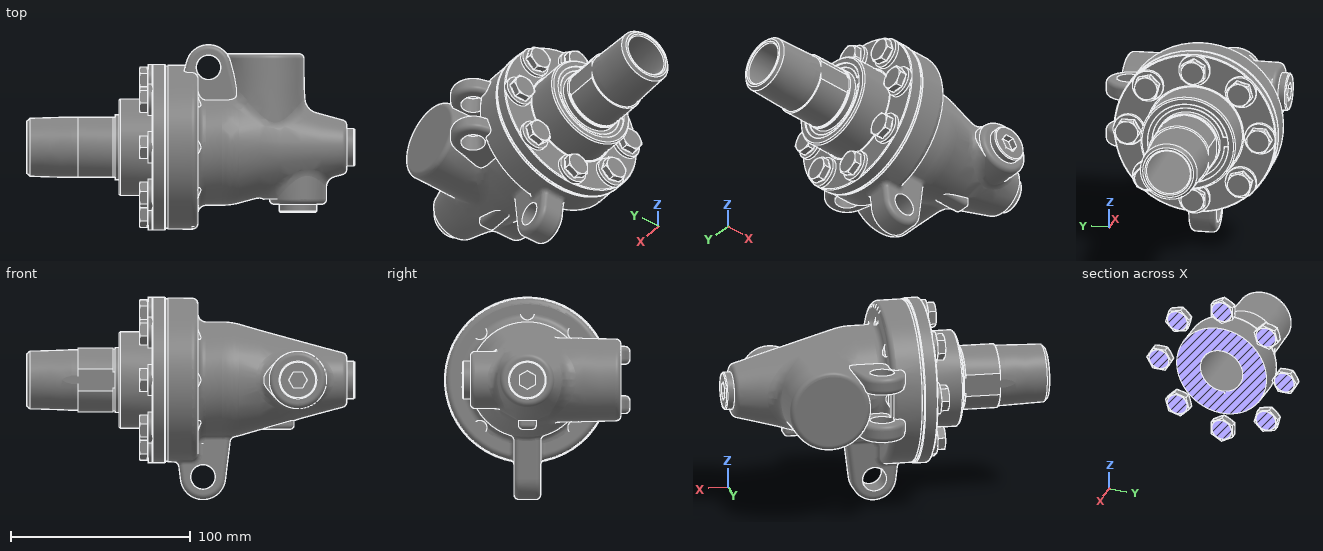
import cadquery as cq
import math


TOTAL_LENGTH = 182.77
SELECTION_MARGIN = 1.5

BORE_RADIUS = 12.5
BORE_DEPTH = 120.0
BORE_CHAMFER = 0.7
SHAFT_END_RADIUS = 29 / 2
SHAFT_CHAMFER_LENGTH = 1.8
THREAD_RADIUS = 16.95
THREAD_TAPER = 1 / 32
THREAD_END_X = 25.0
SHAFT_STEP_X = 28.5
SHAFT_RADIUS = 35.8 / 2
SHAFT_END_X = 48.2
SHAFT_COLLAR_X = 49.2
SHAFT_NECK_RADIUS = 17.4
SHAFT_COLLAR_RADIUS = 36.35 / 2
FLAT_OFFSET = 16.8

COVER_HUB_X = 51.3
COVER_HUB_RADIUS = 54 / 2
COVER_HUB_CHAMFER = 0.9
COVER_X = 69.8
COVER_END_X = 77.4
COVER_RADIUS = 46.2
COVER_CHAMFER = 0.5
HUB_GROOVE_RADIUS = 55.5 / 2
HUB_GROOVE_DEPTH = 0.5
SEAT_RADIUS = 46.1 / 2
SEAT_DEPTH = 1.5
RETAINING_RING_DEPTH = 0.7
RETAINING_RING_INNER_RADIUS = 20.6
RETAINING_RING_GAP_Z = -0.6
RETAINING_RING_GAP_END_Z = 4.9

PLUG_RADIUS = 10.5
PLUG_CHAMFER = 0.6
PLUG_HEIGHT = 4.4
PLUG_HEX_FLATS = 9.0
PLUG_HEX_DEPTH = 4.0

FLANGE_X = 78.7
FLANGE_END_X = 95.5
FLANGE_RADIUS = 45.7
FLANGE_ROUND = 3.5
JOINT_RADIUS = 45.3
BARREL_X = 99.9
BARREL_END_X = 109.0
BARREL_RADIUS = 32.4
CONE_HALF_ANGLE = 15.4
SHOULDER_LENGTH = 9.3
CONE_END_X = TOTAL_LENGTH - PLUG_HEIGHT
NOSE_ROUND = 3.2

SCREW_COUNT = 8
SCREW_CIRCLE_RADIUS = 37.45
SCREW_HEAD_X = 62.8
SCREW_HEAD_END_X = 67.2
SCREW_HEAD_FLATS = 12.7
SCREW_HEAD_CHAMFER_ANGLE = 20.0
SCREW_RADIUS = 7.94 / 2
WASHER_X = 67.7
WASHER_RADIUS = 17.48 / 2
SCREW_FACE_RADIUS = 6.0

BOSS_X = 151.1
BOSS_RADIUS = 16.0
BOSS_FACE_Y = 31.8
BOSS_ROUND = 2.85
BOSS_BLEND = 5.8
BOSS_STOCK = 10.0
BOSS_TRIM_MARGIN = 3.0

OUTLET_X = 131.7
OUTLET_RADIUS = 22.8
OUTLET_FACE_Y = 52.2
OUTLET_ROUND = 3.0
OUTLET_DRAFT = 1.2
OUTLET_BLEND = 8.5

PAD_X = 115.0
PAD_END_X = 149.0
PAD_WIDTH = 10.0
PAD_FACE_Z = 27.5
PAD_ROUND = 2.4

LUG_RADIUS = 12.7
LUG_HOLE_RADIUS = 13.5 / 2
LUG_ROUND = 2.95
BOTTOM_LUG_X = 98.2
BOTTOM_LUG_REACH = 54.0
BOTTOM_LUG_WIDTH = 15.0
BOTTOM_LUG_TAPER = 7.0
BOTTOM_LUG_ROOT = 27.0
BOTTOM_LUG_BLEND = 2.8
BOTTOM_LUG_ANGLE = 270.0
SIDE_LUG_X = 101.3
SIDE_LUG_REACH = 44.5
SIDE_LUG_WIDTH = 10.1
SIDE_LUG_TAPER = 15.0
SIDE_LUG_ROOT = 15.0
SIDE_LUG_OFFSET = 13.75


def x_plane(x, y=0, z=0):
    """Work plane facing +X with local axes along Y and Z."""
    return cq.Workplane("YZ", origin=(x, y, z))


def y_cylinder(x, radius, y_start, y_end, taper=0):
    """Cylinder parallel to Y on the z = 0 plane, from y_start towards y_end."""
    facing = 1 if y_end > y_start else -1
    plane = cq.Plane(origin=(x, y_start, 0), xDir=(1, 0, 0), normal=(0, facing, 0))
    return cq.Workplane(plane).circle(radius).extrude(abs(y_end - y_start), taper=taper)


def revolve_about_x(outline):
    return outline.close().revolve(360, (0, 0, 0), (1, 0, 0))


def make_body_core():
    """Flange, barrel and cone, with the arcs that join them."""
    angle = math.radians(CONE_HALF_ANGLE)
    shoulder_radius = SHOULDER_LENGTH / math.sin(angle)
    shoulder_mid = (
        BARREL_END_X + shoulder_radius * math.sin(angle / 2),
        BARREL_RADIUS - shoulder_radius * (1 - math.cos(angle / 2)),
    )
    cone_x = BARREL_END_X + SHOULDER_LENGTH
    cone_radius = BARREL_RADIUS - shoulder_radius * (1 - math.cos(angle))
    nose_radius = cone_radius - (CONE_END_X - cone_x) * math.tan(angle)
    root_fillet = BARREL_X - FLANGE_END_X
    diagonal = 1 - math.sqrt(0.5)
    outline = (
        cq.Workplane("XY")
        .moveTo(FLANGE_X, 0)
        .lineTo(FLANGE_X, FLANGE_RADIUS)
        .lineTo(FLANGE_END_X - FLANGE_ROUND, FLANGE_RADIUS)
        .threePointArc(
            (FLANGE_END_X - FLANGE_ROUND * diagonal, FLANGE_RADIUS - FLANGE_ROUND * diagonal),
            (FLANGE_END_X, FLANGE_RADIUS - FLANGE_ROUND),
        )
        .lineTo(FLANGE_END_X, BARREL_RADIUS + root_fillet)
        .threePointArc(
            (FLANGE_END_X + root_fillet * diagonal, BARREL_RADIUS + root_fillet * diagonal),
            (BARREL_X, BARREL_RADIUS),
        )
        .lineTo(BARREL_END_X, BARREL_RADIUS)
        .threePointArc(shoulder_mid, (cone_x, cone_radius))
        .lineTo(CONE_END_X, nose_radius)
        .lineTo(CONE_END_X, 0)
    )
    return revolve_about_x(outline).faces(">X").edges().fillet(NOSE_ROUND)


def blend_seam(body, x, radius, y_end, blend):
    """Fillet the seam where a round boss parallel to Y, reaching to y_end, meets the body."""
    reach = radius + SELECTION_MARGIN
    near_y = math.copysign(SELECTION_MARGIN, y_end)
    far_y = y_end - near_y
    seam = cq.selectors.BoxSelector(
        (x - reach, min(near_y, far_y), -reach),
        (x + reach, max(near_y, far_y), reach),
    )
    return body.edges(seam).edges("not %CIRCLE").edges("not %LINE").fillet(blend)


def add_outlet(body):
    outlet = y_cylinder(OUTLET_X, OUTLET_RADIUS, OUTLET_FACE_Y, 0, -OUTLET_DRAFT)
    outlet = outlet.faces(">Y").edges().fillet(OUTLET_ROUND)
    body = body.union(outlet)
    return blend_seam(body, OUTLET_X, OUTLET_RADIUS, OUTLET_FACE_Y, OUTLET_BLEND)


def add_side_boss(body):
    """Blend an over-long boss into the cone, then trim its face and round its rim."""
    stock_length = BOSS_FACE_Y + BOSS_STOCK
    body = body.union(y_cylinder(BOSS_X, BOSS_RADIUS, 0, -stock_length))
    body = blend_seam(body, BOSS_X, BOSS_RADIUS, -BOSS_FACE_Y, BOSS_BLEND)
    rim_radius = BOSS_RADIUS - BOSS_ROUND
    rim_y = BOSS_ROUND - BOSS_FACE_Y
    trim_radius = BOSS_RADIUS + BOSS_TRIM_MARGIN
    diagonal = BOSS_ROUND * math.sqrt(0.5)
    trimmer = (
        cq.Workplane("XY", origin=(BOSS_X, 0, 0))
        .moveTo(0, -BOSS_FACE_Y)
        .lineTo(rim_radius, -BOSS_FACE_Y)
        .threePointArc((rim_radius + diagonal, rim_y - diagonal), (BOSS_RADIUS, rim_y))
        .lineTo(trim_radius, rim_y)
        .lineTo(trim_radius, -stock_length)
        .lineTo(0, -stock_length)
        .close()
        .revolve(360, (0, 0, 0), (0, 1, 0))
    )
    return body.cut(trimmer)


def make_pad():
    length = PAD_END_X - PAD_X
    pad = cq.Workplane("XY", origin=(PAD_X + length / 2, 0, -PAD_FACE_Z))
    pad = pad.rect(length, PAD_WIDTH).extrude(PAD_FACE_Z)
    return pad.edges("|Z").fillet(PAD_ROUND).faces("<Z").edges().fillet(PAD_ROUND)


def make_lug(reach, width, taper, root):
    """Lug lying in XY: round tip centred at y = reach, widening down to y = root."""
    angle = math.radians(taper)
    tangent_x = LUG_RADIUS * math.cos(angle)
    tangent_y = reach + LUG_RADIUS * math.sin(angle)
    root_x = tangent_x + (tangent_y - root) * math.tan(angle)
    lug = (
        cq.Workplane("XY")
        .moveTo(-root_x, root)
        .lineTo(-tangent_x, tangent_y)
        .threePointArc((0, reach + LUG_RADIUS), (tangent_x, tangent_y))
        .lineTo(root_x, root)
        .close()
        .extrude(width / 2, both=True)
    )
    return lug.faces("<Z or >Z").edges().fillet(LUG_ROUND)


def make_lug_hole(reach, width):
    return cq.Workplane("XY").center(0, reach).circle(LUG_HOLE_RADIUS).extrude(width / 2, both=True)


def add_bottom_lug(body):
    def place(shape):
        return shape.rotate((0, 0, 0), (1, 0, 0), BOTTOM_LUG_ANGLE).translate((BOTTOM_LUG_X, 0, 0))

    lug = make_lug(BOTTOM_LUG_REACH, BOTTOM_LUG_WIDTH, BOTTOM_LUG_TAPER, BOTTOM_LUG_ROOT)
    body = body.union(place(lug))
    half_width = BOTTOM_LUG_WIDTH / 2 + SELECTION_MARGIN
    root_box = cq.selectors.BoxSelector(
        (BOTTOM_LUG_X - 2 * LUG_RADIUS, -half_width, -BOTTOM_LUG_REACH),
        (BOTTOM_LUG_X + 2 * LUG_RADIUS, half_width, -BOTTOM_LUG_ROOT),
    )
    seam = body.edges(root_box).filter(lambda edge: edge.BoundingBox().zmin > -BOTTOM_LUG_REACH)
    body = seam.fillet(BOTTOM_LUG_BLEND)
    return body.cut(place(make_lug_hole(BOTTOM_LUG_REACH, BOTTOM_LUG_WIDTH)))


def add_side_lugs(body):
    lug = make_lug(SIDE_LUG_REACH, SIDE_LUG_WIDTH, SIDE_LUG_TAPER, SIDE_LUG_ROOT)
    for offset in (-SIDE_LUG_OFFSET, SIDE_LUG_OFFSET):
        body = body.union(lug.translate((SIDE_LUG_X, 0, offset)))
    hole = make_lug_hole(SIDE_LUG_REACH, 2 * SIDE_LUG_OFFSET + SIDE_LUG_WIDTH)
    return body.cut(hole.translate((SIDE_LUG_X, 0, 0)))


def make_shaft():
    """Tapered pipe thread end, plain shank and collar, with two wrench flats."""
    thread_start_radius = THREAD_RADIUS - (THREAD_END_X - SHAFT_CHAMFER_LENGTH) * THREAD_TAPER
    shaft = revolve_about_x(
        cq.Workplane("XY")
        .lineTo(0, SHAFT_END_RADIUS)
        .lineTo(SHAFT_CHAMFER_LENGTH, thread_start_radius)
        .lineTo(THREAD_END_X, THREAD_RADIUS)
        .lineTo(SHAFT_STEP_X, THREAD_RADIUS)
        .lineTo(SHAFT_STEP_X, SHAFT_RADIUS)
        .lineTo(SHAFT_END_X, SHAFT_RADIUS)
        .lineTo(SHAFT_END_X, SHAFT_NECK_RADIUS)
        .lineTo(SHAFT_COLLAR_X, SHAFT_NECK_RADIUS)
        .lineTo(SHAFT_COLLAR_X, SHAFT_COLLAR_RADIUS)
        .lineTo(COVER_X, SHAFT_COLLAR_RADIUS)
        .lineTo(COVER_X, 0)
    )
    for side in (-1, 1):
        flat = cq.Workplane("XY").box(SHAFT_COLLAR_X, SHAFT_RADIUS, 2 * SHAFT_RADIUS)
        shaft = shaft.cut(
            flat.translate((SHAFT_COLLAR_X / 2, side * (FLAT_OFFSET + SHAFT_RADIUS / 2), 0))
        )
    return shaft


def make_bore():
    """Blind bore of the shaft with a chamfered mouth."""
    return revolve_about_x(
        cq.Workplane("XY")
        .lineTo(0, BORE_RADIUS + BORE_CHAMFER)
        .lineTo(BORE_CHAMFER, BORE_RADIUS)
        .lineTo(BORE_DEPTH, BORE_RADIUS)
        .lineTo(BORE_DEPTH, 0)
    )


def make_cover():
    """Bolted cover with its hub, hub groove, shaft seat, retaining ring and joint spacer."""
    hub = x_plane(COVER_HUB_X).circle(COVER_HUB_RADIUS).extrude(COVER_X - COVER_HUB_X)
    hub = hub.faces("<X").edges().chamfer(COVER_HUB_CHAMFER)
    hub = hub.cut(x_plane(COVER_HUB_X).circle(SEAT_RADIUS).extrude(SEAT_DEPTH))
    ring_x = COVER_HUB_X + SEAT_DEPTH - RETAINING_RING_DEPTH
    ring = x_plane(ring_x).circle(SEAT_RADIUS).circle(RETAINING_RING_INNER_RADIUS)
    ring = ring.extrude(RETAINING_RING_DEPTH)
    gap_height = RETAINING_RING_GAP_END_Z - RETAINING_RING_GAP_Z
    gap_z = (RETAINING_RING_GAP_END_Z + RETAINING_RING_GAP_Z) / 2
    gap = x_plane(ring_x, -SEAT_RADIUS, gap_z).rect(SEAT_RADIUS, gap_height)
    ring = ring.cut(gap.extrude(RETAINING_RING_DEPTH))
    disc = x_plane(COVER_X).circle(COVER_RADIUS).extrude(COVER_END_X - COVER_X)
    disc = disc.edges().chamfer(COVER_CHAMFER)
    hub_groove = x_plane(COVER_X).circle(HUB_GROOVE_RADIUS).circle(COVER_HUB_RADIUS)
    disc = disc.cut(hub_groove.extrude(HUB_GROOVE_DEPTH))
    joint = x_plane(COVER_END_X).circle(JOINT_RADIUS).extrude(FLANGE_X - COVER_END_X)
    return hub.union(ring).union(disc).union(joint)


def make_screw():
    """Hex head with a chamfered crown, bearing face, and washer, on the X axis."""
    corner_diameter = SCREW_HEAD_FLATS / math.cos(math.pi / 6)
    head = x_plane(SCREW_HEAD_X).polygon(6, corner_diameter).extrude(SCREW_HEAD_END_X - SCREW_HEAD_X)
    crown_drop = SCREW_HEAD_FLATS / 2 * math.tan(math.radians(SCREW_HEAD_CHAMFER_ANGLE))
    crown = revolve_about_x(
        cq.Workplane("XY")
        .moveTo(SCREW_HEAD_X, 0)
        .lineTo(SCREW_HEAD_X, SCREW_HEAD_FLATS / 2)
        .lineTo(SCREW_HEAD_X + crown_drop, SCREW_HEAD_FLATS)
        .lineTo(SCREW_HEAD_END_X, SCREW_HEAD_FLATS)
        .lineTo(SCREW_HEAD_END_X, 0)
    )
    bearing_face = x_plane(SCREW_HEAD_END_X).circle(SCREW_FACE_RADIUS)
    bearing_face = bearing_face.extrude(WASHER_X - SCREW_HEAD_END_X)
    washer = x_plane(WASHER_X).circle(WASHER_RADIUS).extrude(COVER_X - WASHER_X + COVER_CHAMFER)
    return head.intersect(crown).union(bearing_face).union(washer)


def add_screws(part):
    """Screws around the flange; each hole also clears the barrel fillet, except at the lug."""
    relief = x_plane(FLANGE_END_X).circle(SCREW_RADIUS).extrude(BARREL_X - FLANGE_END_X)
    for index in range(SCREW_COUNT):
        angle = 360 * index / SCREW_COUNT

        def place(shape):
            return shape.translate((0, SCREW_CIRCLE_RADIUS, 0)).rotate((0, 0, 0), (1, 0, 0), angle)

        part = part.union(place(make_screw()))
        if angle != BOTTOM_LUG_ANGLE:
            part = part.cut(place(relief))
    return part


def make_plug():
    """Plug head standing on z = 0, with a hexagon socket in its face."""
    plug = cq.Workplane("XY").circle(PLUG_RADIUS).extrude(PLUG_HEIGHT)
    plug = plug.faces(">Z").edges().chamfer(PLUG_CHAMFER)
    socket_corner_diameter = PLUG_HEX_FLATS / math.cos(math.pi / 6)
    socket = plug.faces(">Z").workplane().polygon(6, socket_corner_diameter)
    return socket.cutBlind(-PLUG_HEX_DEPTH)


body = make_body_core()
body = add_outlet(body)
body = add_side_boss(body)
body = body.union(make_pad())
body = add_bottom_lug(body)
body = add_side_lugs(body)

side_plug = make_plug().rotate((0, 0, 0), (1, 0, 0), 90).translate((BOSS_X, -BOSS_FACE_Y, 0))
end_plug = make_plug().rotate((0, 0, 0), (0, 1, 0), 90).translate((CONE_END_X, 0, 0))

result = body.union(make_cover()).union(make_shaft())
result = result.union(side_plug).union(end_plug)
result = add_screws(result)
result = result.cut(make_bore())